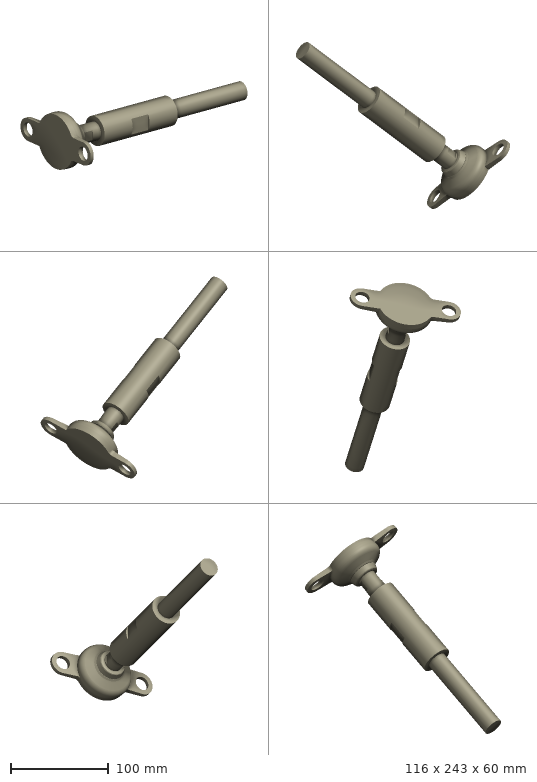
import cadquery as cq
import math

TOTAL_LENGTH = 243.0

FOOT_RADIUS = 29.99
FOOT_BOTTOM_RADIUS = 29.5
RIM_HEIGHT = 6.0
BAND_TOP = 8.8
SHOULDER_RADIUS = 7.5
CONE_ANGLE = 28.5
CONE_TOP = 20.0
NECK_RADIUS = 15.8
NECK_TOP = 21.5
GROOVE_RADIUS = 15.0
GROOVE_WIDTH = 0.6

LUG_SPAN = 116.0
LUG_WIDTH = 25.0
LUG_TIP_THICKNESS = 4.0
LUG_HOLE_DIAMETER = 15.0
LUG_CORNER_RADIUS = 5.0

COLLAR_BOTTOM_RADIUS = 16.0
COLLAR_SHOULDER_RADIUS = 14.2
COLLAR_TOP_RADIUS = 13.6
COLLAR_SHOULDER = 27.4
COLLAR_TOP = 28.1
CROWN_RADIUS = 11.6
CROWN_HEIGHT = 0.45
SHAFT_DIAMETER = 20.0
SHAFT_FLAT_START = 30.3
SHAFT_FLAT_LENGTH = 11.0
SHAFT_ACROSS_FLATS = 17.0

SLEEVE_DIAMETER = 32.0
SLEEVE_LENGTH = 95.5
ROD_LENGTH = 96.0
SLEEVE_FLAT_LENGTH = 22.0
SLEEVE_ACROSS_FLATS = 27.0

SLEEVE_END = TOTAL_LENGTH - ROD_LENGTH
SLEEVE_START = SLEEVE_END - SLEEVE_LENGTH
SLEEVE_FLAT_START = (SLEEVE_START + SLEEVE_END - SLEEVE_FLAT_LENGTH) / 2
COLLAR_BOTTOM = NECK_TOP + GROOVE_WIDTH
LUG_HOLE_X = (LUG_SPAN - LUG_WIDTH) / 2


def revolve_about_y(profile):
    """Turn a closed half profile, drawn in XY, around the Y axis."""
    return profile.close().revolve(360, (0, 0, 0), (0, 1, 0))


def make_bell():
    """The round part of the foot: rim, band, rounded shoulder, cone and neck."""
    cone = math.radians(CONE_ANGLE)
    center_x = FOOT_RADIUS - SHOULDER_RADIUS

    def shoulder_point(angle):
        x = center_x + SHOULDER_RADIUS * math.cos(angle)
        return x, BAND_TOP + SHOULDER_RADIUS * math.sin(angle)

    cone_start_angle = math.pi / 2 - cone
    cone_start = shoulder_point(cone_start_angle)
    cone_end_x = cone_start[0] - (CONE_TOP - cone_start[1]) / math.tan(cone)
    return revolve_about_y(
        cq.Workplane("XY")
        .lineTo(FOOT_BOTTOM_RADIUS, 0)
        .lineTo(FOOT_RADIUS, RIM_HEIGHT)
        .lineTo(FOOT_RADIUS, BAND_TOP)
        .threePointArc(shoulder_point(cone_start_angle / 2), cone_start)
        .lineTo(cone_end_x, CONE_TOP)
        .lineTo(NECK_RADIUS, NECK_TOP)
        .lineTo(0, NECK_TOP)
    )


def make_lug_plate():
    """Both lugs as one slotted plate, its top falling away conically towards the tips."""
    outline = cq.Workplane("XZ").slot2D(LUG_SPAN, LUG_WIDTH).extrude(-RIM_HEIGHT)
    falling_top = revolve_about_y(
        cq.Workplane("XY")
        .lineTo(LUG_SPAN / 2, 0)
        .lineTo(LUG_SPAN / 2, LUG_TIP_THICKNESS)
        .lineTo(FOOT_BOTTOM_RADIUS, RIM_HEIGHT)
        .lineTo(0, RIM_HEIGHT)
    )
    return outline.intersect(falling_top)


def make_corner_web(side):
    """Fillet between the rim and one long edge of the +X lug; side is the sign of Z."""
    center_z = LUG_WIDTH / 2 + LUG_CORNER_RADIUS
    center_distance = FOOT_BOTTOM_RADIUS + LUG_CORNER_RADIUS
    center_x = math.sqrt(center_distance**2 - center_z**2)
    rim_share = FOOT_BOTTOM_RADIUS / center_distance
    web = (
        cq.Workplane("XZ")
        .moveTo(center_x, 0)
        .lineTo(center_x, side * center_z)
        .lineTo(center_x * rim_share, side * center_z * rim_share)
        .lineTo(0, 0)
        .close()
        .extrude(-RIM_HEIGHT)
    )
    rounding = (
        cq.Workplane("XZ")
        .center(center_x, side * center_z)
        .circle(LUG_CORNER_RADIUS)
        .extrude(-RIM_HEIGHT)
    )
    return web.cut(rounding)


def make_foot():
    """Bell, lugs and their fillets, with the lug holes drilled through."""
    foot = make_bell().union(make_lug_plate())
    for side in (1, -1):
        foot = foot.union(make_corner_web(side))
    holes = (
        cq.Workplane("XZ")
        .pushPoints([(-LUG_HOLE_X, 0), (LUG_HOLE_X, 0)])
        .circle(LUG_HOLE_DIAMETER / 2)
        .extrude(-RIM_HEIGHT)
    )
    return foot.cut(holes)


def cut_flats(body, start, length, across_flats, diameter):
    """Cut two wrench flats, facing -X and +X, into a round stretch of the body."""
    for side in (-1, 1):
        waste = cq.Workplane("XY").box(diameter, length, diameter, centered=(True, False, True))
        body = body.cut(waste.translate((side * (across_flats + diameter) / 2, start, 0)))
    return body


def make_stem():
    """Groove, collar, shaft and rod, standing on the top of the bell."""
    shaft_radius = SHAFT_DIAMETER / 2
    crown_top = COLLAR_TOP + CROWN_HEIGHT
    stem = revolve_about_y(
        cq.Workplane("XY")
        .moveTo(0, NECK_TOP)
        .lineTo(GROOVE_RADIUS, NECK_TOP)
        .lineTo(GROOVE_RADIUS, COLLAR_BOTTOM)
        .lineTo(COLLAR_BOTTOM_RADIUS, COLLAR_BOTTOM)
        .lineTo(COLLAR_SHOULDER_RADIUS, COLLAR_SHOULDER)
        .lineTo(COLLAR_TOP_RADIUS, COLLAR_TOP)
        .lineTo(CROWN_RADIUS, crown_top)
        .lineTo(shaft_radius, crown_top)
        .lineTo(shaft_radius, TOTAL_LENGTH)
        .lineTo(0, TOTAL_LENGTH)
    )
    return cut_flats(stem, SHAFT_FLAT_START, SHAFT_FLAT_LENGTH, SHAFT_ACROSS_FLATS, SHAFT_DIAMETER)


def make_sleeve():
    """Tube around the rod, bored to the rod's diameter."""
    sleeve = (
        cq.Workplane("XZ", origin=(0, SLEEVE_START, 0))
        .circle(SLEEVE_DIAMETER / 2)
        .circle(SHAFT_DIAMETER / 2)
        .extrude(-SLEEVE_LENGTH)
    )
    return cut_flats(
        sleeve, SLEEVE_FLAT_START, SLEEVE_FLAT_LENGTH, SLEEVE_ACROSS_FLATS, SLEEVE_DIAMETER
    )


levelling_foot = make_foot().union(make_stem())
sleeve = make_sleeve()
result = cq.Compound.makeCompound([levelling_foot.val(), sleeve.val()])